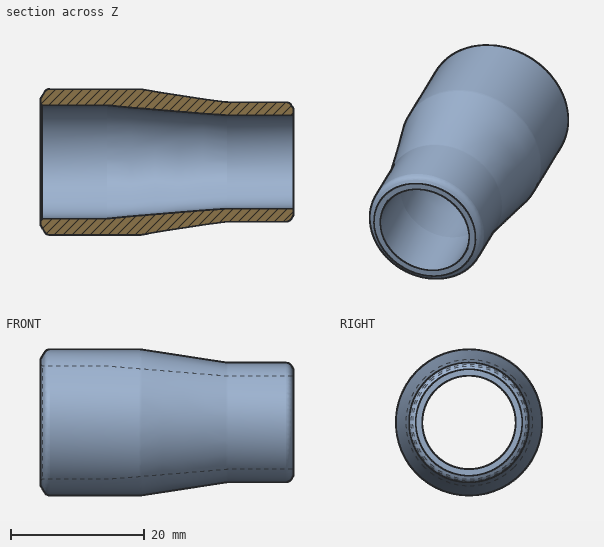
import cadquery as cq
import math

length = 38.0
large_cylinder_end = 15.0
small_cylinder_start = 28.0
large_bore_depth = 10.0

large_outer_radius = 11.0
small_outer_radius = 9.0
large_bore_radius = 8.5
small_bore_radius = 7.0

bevel_angle = math.radians(30.0)
large_bevel_height = 1.5
small_bevel_height = 1.0
bevel_rounding = 1.0
mouth_chamfer = 0.25

large_bend_radius = 2.0
small_bend_radius = 1.0


def solid_of_revolution(points):
    """Turn a closed (x, radius) outline about the X axis."""
    outline = cq.Workplane("XZ").polyline(points).close()
    return outline.revolve(360, (0, 0, 0), (1, 0, 0))


def circle_at(body, x, radius):
    """Select the circular edge at the given x and radius."""
    tolerance = 0.01
    return body.edges(
        cq.selectors.BoxSelector(
            (x - tolerance, -radius - tolerance, -radius - tolerance),
            (x + tolerance, radius + tolerance, radius + tolerance),
            boundingbox=True,
        )
    )


def outer_body():
    large_bevel_end = large_bevel_height * math.tan(bevel_angle)
    small_bevel_start = length - small_bevel_height * math.tan(bevel_angle)
    body = solid_of_revolution([
        (0, 0),
        (0, large_outer_radius - large_bevel_height),
        (large_bevel_end, large_outer_radius),
        (large_cylinder_end, large_outer_radius),
        (small_cylinder_start, small_outer_radius),
        (small_bevel_start, small_outer_radius),
        (length, small_outer_radius - small_bevel_height),
        (length, 0),
    ])
    body = circle_at(body, large_bevel_end, large_outer_radius).fillet(bevel_rounding)
    body = circle_at(body, small_bevel_start, small_outer_radius).fillet(bevel_rounding)
    body = circle_at(body, large_cylinder_end, large_outer_radius).fillet(large_bend_radius)
    return circle_at(body, small_cylinder_start, small_outer_radius).fillet(small_bend_radius)


def bore():
    return solid_of_revolution([
        (0, 0),
        (0, large_bore_radius + mouth_chamfer),
        (mouth_chamfer, large_bore_radius),
        (large_bore_depth, large_bore_radius),
        (small_cylinder_start, small_bore_radius),
        (length, small_bore_radius),
        (length, 0),
    ])


result = outer_body().cut(bore())